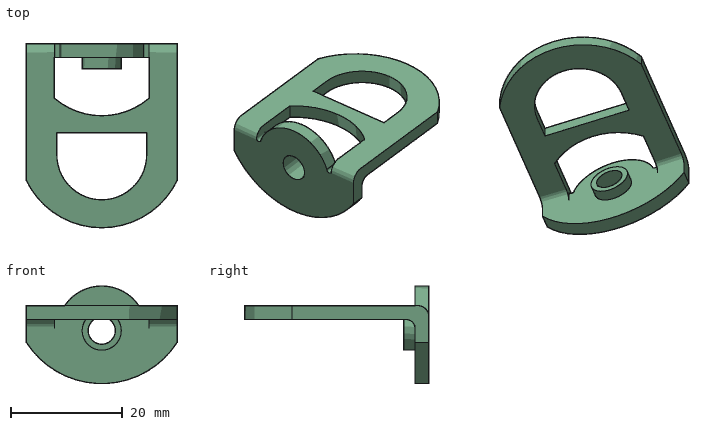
import cadquery as cq
import math


width = 27.0
length = 32.95
thickness = 2.5
arm_top = 4.48
outer_bend_radius = 2.0
inner_bend_radius = 1.5
nose_radius = 15.0

plate_bottom = -9.5
plate_bottom_radius = 16.0
disc_radius = 8.0
boss_radius = 3.5
boss_height = 2.0
hole_radius = 2.4

bay_half_width = 8.45
bay_depth = 12.88
bay_arc_radius = 13.0
window_back = 15.95
window_radius = 8.0
window_straight = 3.95

relief_radius = 0.5
relief_center_z = 2.8

half_width = width / 2
arm_bottom = arm_top - thickness


def arc_rise(radius, half_chord):
    """Height of a circular arc above its chord."""
    return radius - math.sqrt(radius**2 - half_chord**2)


def bent_strip():
    """L-shaped strip with rounded bend, running the full width."""
    strip = (
        cq.Workplane("YZ")
        .moveTo(0, plate_bottom)
        .lineTo(0, arm_top)
        .lineTo(-length, arm_top)
        .lineTo(-length, arm_bottom)
        .lineTo(-thickness, arm_bottom)
        .lineTo(-thickness, plate_bottom)
        .close()
        .extrude(half_width, both=True)
    )
    strip = strip.edges(cq.selectors.NearestToPointSelector((0, 0, arm_top))).fillet(outer_bend_radius)
    inner_corner = (0, -thickness, arm_bottom)
    return strip.edges(cq.selectors.NearestToPointSelector(inner_corner)).fillet(inner_bend_radius)


def arm_outline():
    """Plan outline with the rounded nose, as a prism through the whole height."""
    nose_start = -length + arc_rise(nose_radius, half_width)
    return (
        cq.Workplane("XY")
        .workplane(offset=plate_bottom)
        .moveTo(-half_width, 0)
        .lineTo(-half_width, nose_start)
        .threePointArc((0, -length), (half_width, nose_start))
        .lineTo(half_width, 0)
        .close()
        .extrude(arm_top - plate_bottom)
    )


def plate_outline(half_span, top):
    """Plate shape with a curved lower edge, extruded forward over the full length."""
    circle_center_z = plate_bottom + plate_bottom_radius
    side_end = circle_center_z - math.sqrt(plate_bottom_radius**2 - half_span**2)
    return (
        cq.Workplane("XZ")
        .moveTo(-half_span, top)
        .lineTo(-half_span, side_end)
        .threePointArc((0, plate_bottom), (half_span, side_end))
        .lineTo(half_span, top)
        .close()
        .extrude(length)
    )


def bay():
    """Opening behind the cross bar, cut through arm and back plate."""
    arc_start = -bay_depth + arc_rise(bay_arc_radius, bay_half_width)
    return (
        cq.Workplane("XY")
        .workplane(offset=plate_bottom)
        .moveTo(-bay_half_width, 0)
        .lineTo(-bay_half_width, arc_start)
        .threePointArc((0, -bay_depth), (bay_half_width, arc_start))
        .lineTo(bay_half_width, 0)
        .close()
        .extrude(arm_top - plate_bottom)
    )


def strap_window():
    """D-shaped opening in the arm."""
    arc_start = -window_back - window_straight
    return (
        cq.Workplane("XY")
        .workplane(offset=arm_bottom)
        .moveTo(-window_radius, -window_back)
        .lineTo(-window_radius, arc_start)
        .threePointArc((0, arc_start - window_radius), (window_radius, arc_start))
        .lineTo(window_radius, -window_back)
        .close()
        .extrude(thickness)
    )


def cylinder(radius, depth, x=0, z=0):
    """Cylinder running forward from the back face."""
    return cq.Workplane("XZ").center(x, z).circle(radius).extrude(depth)


def center_plate():
    """Middle of the back plate with its disc, boss and reliefs."""
    slab = cq.Workplane("XY").box(width, thickness, width).translate((0, -thickness / 2, 0))
    plate = plate_outline(bay_half_width, relief_center_z).intersect(slab)
    plate = plate.union(cylinder(disc_radius, thickness))
    for side in (-1, 1):
        relief_x = side * (bay_half_width - relief_radius)
        plate = plate.cut(cylinder(relief_radius, thickness, relief_x, relief_center_z))
    return plate.union(cylinder(boss_radius, thickness + boss_height))


bracket = bent_strip().intersect(arm_outline()).intersect(plate_outline(half_width, arm_top))
bracket = bracket.cut(bay()).cut(strap_window())
pin_hole = cylinder(hole_radius, thickness + boss_height)
result = bracket.union(center_plate()).cut(pin_hole)